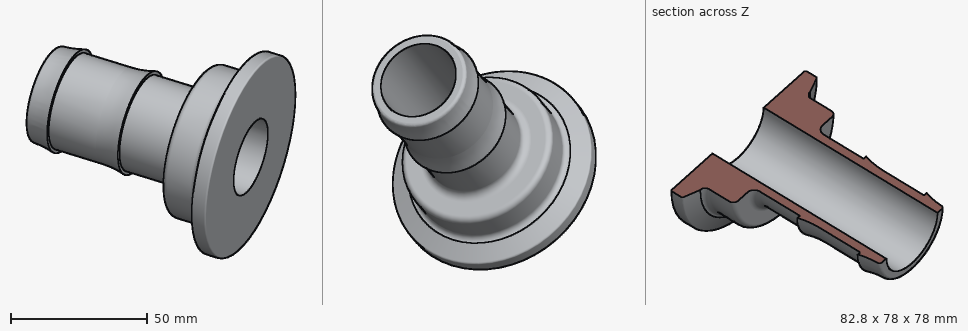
import cadquery as cq
import math

total_length = 82.8
bore_radius = 29.5 / 2

tube_radius = 37.1 / 2
barb_radius = 19.95
barb_length = 9.5
barb_starts = (0.0, 28.7)
tip_round = 1.25

collar_radius = 58.95 / 2
collar_start = 60.4
collar_round = 2.2
tube_to_collar_fillet = 3.15

flange_radius = 78.0 / 2
shoulder_x = 74.5
shoulder_radius = 31.8
shoulder_fillet = 2.2
flange_back_angle = 20.0
rim_back_round = 0.8
rim_face_round = 0.7

cone_length = (flange_radius - shoulder_radius) * math.tan(math.radians(flange_back_angle))
rim_start = shoulder_x + cone_length


def barb_mid_point(start):
    """Middle of the barb arc, which leaves the tube tangentially at its start."""
    rise = barb_radius - tube_radius
    arc_radius = (barb_length**2 + rise**2) / (2 * rise)
    half_sweep = math.asin(barb_length / arc_radius) / 2
    x = start + arc_radius * math.sin(half_sweep)
    return (x, tube_radius + arc_radius * (1 - math.cos(half_sweep)))


def turned_body():
    """Revolve the half-section with sharp corners around the X axis."""
    outline = cq.Workplane("XY").moveTo(0, bore_radius)
    for start in barb_starts:
        end = start + barb_length
        outline = outline.lineTo(start, tube_radius)
        outline = outline.threePointArc(barb_mid_point(start), (end, barb_radius))
        outline = outline.lineTo(end, tube_radius)
    outline = (
        outline.lineTo(collar_start, tube_radius)
        .lineTo(collar_start, collar_radius)
        .lineTo(shoulder_x, collar_radius)
        .lineTo(shoulder_x, shoulder_radius)
        .lineTo(rim_start, flange_radius)
        .lineTo(total_length, flange_radius)
        .lineTo(total_length, bore_radius)
        .close()
    )
    return outline.revolve(360, (0, 0, 0), (1, 0, 0))


def round_edge(body, x, edge_radius, round_radius):
    """Fillet the circular edge of the given radius that lies in the plane at x."""
    tolerance = 0.01
    low = (x - tolerance, -flange_radius, -flange_radius)
    high = (x + tolerance, flange_radius, flange_radius)
    circles = body.edges("%CIRCLE").edges(cq.selectors.BoxSelector(low, high)).vals()
    matching = [edge for edge in circles if abs(edge.radius() - edge_radius) < tolerance]
    return body.newObject(matching).fillet(round_radius)


result = turned_body()
result = round_edge(result, barb_starts[0], tube_radius, tip_round)
result = round_edge(result, collar_start, tube_radius, tube_to_collar_fillet)
result = round_edge(result, collar_start, collar_radius, collar_round)
result = round_edge(result, shoulder_x, collar_radius, shoulder_fillet)
result = round_edge(result, rim_start, flange_radius, rim_back_round)
result = round_edge(result, total_length, flange_radius, rim_face_round)